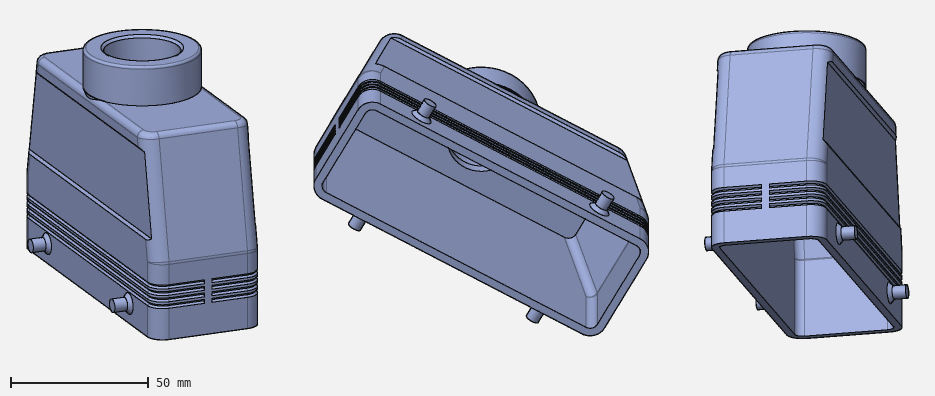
import cadquery as cq
import math

BASE_LENGTH = 120.0
WIDTH = 43.0
HOOD_HEIGHT = 76.0
TOP_LENGTH = 101.0
KNEE_HEIGHT = 29.3
KNEE_RADIUS = 5.0
CORNER_RADIUS = 6.0
TOP_FILLET = 2.5
WALL = 3.0

RECESS_BOTTOM = 36.8
RECESS_TOP = 70.0
RECESS_DEPTH = 1.0

GROOVE_COUNT = 4
GROOVE_PITCH = 2.5
GROOVE_BOTTOM = 12.0
GROOVE_HEIGHT = 1.5
GROOVE_SLOPE_ANGLE = 45.0
GROOVE_GAP = 3.0

PIN_SPAN = 56.0
PIN_SPACING = 74.0
PIN_Z = 7.5
PIN_RADIUS = 2.5
FOOT_RADIUS = 4.0
FOOT_HEIGHT = 1.5

TOTAL_HEIGHT = 91.0
ENTRY_RADIUS = WIDTH / 2
NECK_RADIUS = 21.2
ENTRY_FILLET = 1.0
BORE_RADIUS = 14.0
BORE_CHAMFER = 1.0
LEDGE_HEIGHT = 78.0
HOLE_RADIUS = 12.25

END_SLOPE = (BASE_LENGTH - TOP_LENGTH) / 2 / (HOOD_HEIGHT - KNEE_HEIGHT)
END_ANGLE = math.atan(END_SLOPE)


def hood_block(inset):
    """Solid hood outline with its walls and roof moved inward by `inset`."""
    width = WIDTH - 2 * inset
    height = HOOD_HEIGHT - inset
    half_base = BASE_LENGTH / 2 - inset
    knee_z = KNEE_HEIGHT - inset * math.tan(END_ANGLE / 2)
    half_top = half_base - END_SLOPE * (height - knee_z)
    outline = [
        (-half_base, 0),
        (half_base, 0),
        (half_base, knee_z),
        (half_top, height),
        (-half_top, height),
        (-half_base, knee_z),
    ]
    block = cq.Workplane("XZ").polyline(outline).close().extrude(width / 2, both=True)
    block = block.edges("(|Y) and (not (<Z or >Z))").fillet(KNEE_RADIUS - inset)
    return block.edges("(>Y or <Y) and (not |X)").fillet(CORNER_RADIUS - inset)


def side_recess(side):
    """Trapezoidal bar that cuts the recess into one long side (side = +1 or -1)."""
    outer_y = side * WIDTH / 2
    inner_y = side * (WIDTH / 2 - RECESS_DEPTH)
    section = [
        (outer_y, RECESS_BOTTOM),
        (inner_y, RECESS_BOTTOM + RECESS_DEPTH),
        (inner_y, RECESS_TOP - RECESS_DEPTH),
        (outer_y, RECESS_TOP),
    ]
    return cq.Workplane("YZ").polyline(section).close().extrude(BASE_LENGTH / 2, both=True)


def plan_outline(z):
    """Rounded plan outline of the lower walls at height z."""
    return (
        cq.Workplane("XY", origin=(0, 0, z))
        .sketch()
        .rect(BASE_LENGTH, WIDTH)
        .vertices()
        .fillet(CORNER_RADIUS)
        .finalize()
    )


def groove(z):
    """Ring of V-shaped section with its lower edge at height z, split at both ends."""
    half_height = GROOVE_HEIGHT / 2
    ring = plan_outline(z).extrude(GROOVE_HEIGHT)
    lower_core = plan_outline(z).extrude(half_height, taper=GROOVE_SLOPE_ANGLE)
    upper_core = plan_outline(z + GROOVE_HEIGHT).extrude(-half_height, taper=GROOVE_SLOPE_ANGLE)
    gap = cq.Workplane("XY", origin=(0, 0, z)).box(
        2 * BASE_LENGTH, GROOVE_GAP, GROOVE_HEIGHT, centered=(True, True, False)
    )
    return ring.cut(lower_core).cut(upper_core).cut(gap)


def pin(x, side):
    """Locking pin with conical foot, pointing outward from one long side."""
    wall_y = WIDTH / 2
    root_y = wall_y - WALL / 2
    profile = [
        (0, root_y),
        (FOOT_RADIUS, root_y),
        (FOOT_RADIUS, wall_y),
        (PIN_RADIUS, wall_y + FOOT_HEIGHT),
        (PIN_RADIUS, PIN_SPAN / 2),
        (0, PIN_SPAN / 2),
    ]
    turned = cq.Workplane("XY").polyline(profile).close().revolve(360, (0, 0), (0, 1))
    if side < 0:
        turned = turned.mirror("XZ")
    return turned.translate((x, 0, PIN_Z))


def cable_entry():
    """Round collar above the roof, on a slightly narrower neck that meets the roof fillet."""
    neck = cq.Workplane("XY", origin=(0, 0, HOOD_HEIGHT - WALL)).circle(NECK_RADIUS).extrude(WALL)
    collar = (
        cq.Workplane("XY", origin=(0, 0, HOOD_HEIGHT))
        .circle(ENTRY_RADIUS)
        .extrude(TOTAL_HEIGHT - HOOD_HEIGHT)
        .faces(">Z")
        .edges()
        .fillet(ENTRY_FILLET)
    )
    return collar.union(neck)


def entry_bore():
    """Stepped bore through collar and roof, chamfered at its mouth."""
    mouth_radius = BORE_RADIUS + BORE_CHAMFER
    start = HOOD_HEIGHT - 2 * WALL
    profile = [
        (0, start),
        (HOLE_RADIUS, start),
        (HOLE_RADIUS, LEDGE_HEIGHT),
        (BORE_RADIUS, LEDGE_HEIGHT),
        (BORE_RADIUS, TOTAL_HEIGHT - BORE_CHAMFER),
        (mouth_radius, TOTAL_HEIGHT),
        (0, TOTAL_HEIGHT),
    ]
    return cq.Workplane("XZ").polyline(profile).close().revolve(360, (0, 0), (0, 1))


hood = hood_block(0).faces(">Z").edges().fillet(TOP_FILLET)
for side in (-1, 1):
    hood = hood.cut(side_recess(side))
for index in range(GROOVE_COUNT):
    hood = hood.cut(groove(GROOVE_BOTTOM + index * GROOVE_PITCH))

hood = hood.union(cable_entry())
for side in (-1, 1):
    for x in (-PIN_SPACING / 2, PIN_SPACING / 2):
        hood = hood.union(pin(x, side))

result = hood.cut(hood_block(WALL)).cut(entry_bore())